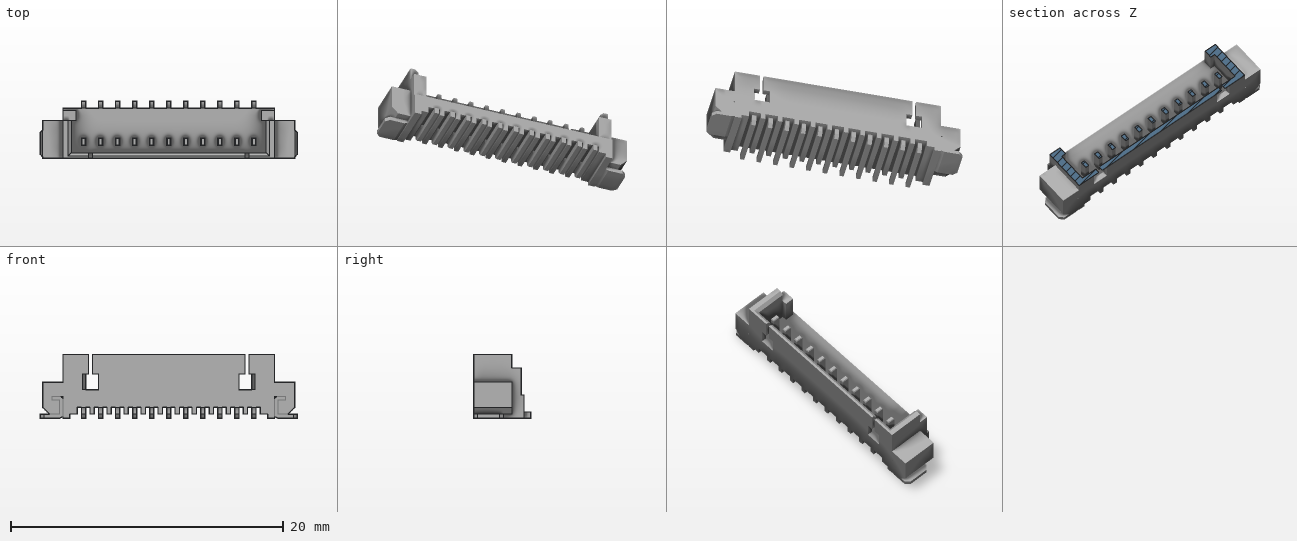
import cadquery as cq
import math

CONTACT_COUNT = 11
PITCH = 1.25
CONTACT_WIDTH = 0.32
CONTACT_FRONT_Y = 0.94
CONTACT_DEPTH = 0.56
CONTACT_TOP_Z = 4.0
TIP_INSET = 0.05
TIP_HEIGHT = 0.08
SHOULDER_FRONT_Y = 0.30
LEG_END_Y = 4.2
LEG_HEIGHT = 0.47
HEEL_DEPTH = 0.25
HEEL_HEIGHT = 0.3

BODY_LENGTH = 15.55
BODY_DEPTH = 3.7
BODY_HEIGHT = 4.7
FLOOR_Z = 1.72
STANDOFF = 0.3
FOOT_LENGTH = 0.51
END_WALL_DEPTH = 2.8
END_WALL_THICKNESS = 0.62
FRONT_WALL_THICKNESS = 0.41
LEAD_IN = 0.24

POST_LENGTH = 0.98
POST_BACK_Y = 3.5
POST_TOP_Z = 3.7

NOTCH_LENGTH = 0.91
NOTCH_TOP_Z = 0.8

WINDOW_X = 5.75
WINDOW_LENGTH = 1.2
WINDOW_BOTTOM_Z = 2.1
WINDOW_TOP_Z = 3.25
SLIT_LENGTH = 0.28

EAR_END_X = 9.25
EAR_TOP_Z = 2.65
EAR_CHAMFER = 0.5
NAIL_END_X = 9.45
NAIL_DEPTH = 2.2
NAIL_TOP_Z = 1.6
NAIL_HOOK_X = 8.57
NAIL_THICKNESS = 0.24
NAIL_FOOT_THICKNESS = STANDOFF
NAIL_BEND_CHAMFER = 0.14
NAIL_FOOT_BEND_X = 0.25
NAIL_FOOT_BEND_Z = 0.1
NAIL_CORNER_CHAMFER = 0.3

HALF_LENGTH = BODY_LENGTH / 2
CONTACT_XS = [(i - (CONTACT_COUNT - 1) / 2) * PITCH for i in range(CONTACT_COUNT)]


def box(x_min, x_max, y_min, y_max, z_min, z_max):
    """Axis-aligned block given by its limits."""
    block = cq.Workplane("XY").box(x_max - x_min, y_max - y_min, z_max - z_min, centered=False)
    return block.translate((x_min, y_min, z_min))


def extrude_along_y(points, depth):
    """Extrude an XZ outline from the front face toward +Y."""
    return cq.Workplane("XZ").polyline(points).close().extrude(-depth)


def both_ends(shape):
    """The shape at the +X end together with its mirror image at the -X end."""
    return shape.add(shape.mirror("YZ").vals()).combine()


def make_shell():
    """Base block, front wall and end walls around a cavity open at top and back."""
    base = box(-HALF_LENGTH, HALF_LENGTH, 0, BODY_DEPTH, STANDOFF, FLOOR_Z)
    walls = box(-HALF_LENGTH, HALF_LENGTH, 0, END_WALL_DEPTH, FLOOR_Z, BODY_HEIGHT)
    inner_x = HALF_LENGTH - END_WALL_THICKNESS
    cavity = box(-inner_x, inner_x, FRONT_WALL_THICKNESS, END_WALL_DEPTH, FLOOR_Z, BODY_HEIGHT)
    return base.union(walls.cut(cavity).cut(make_lead_in()))


def make_lead_in():
    """Flared mouth of the cavity: bevels on the front wall and both end walls."""
    inner_x = HALF_LENGTH - END_WALL_THICKNESS
    bevel_z = BODY_HEIGHT - LEAD_IN
    mouth_x = inner_x + LEAD_IN
    mouth_y = FRONT_WALL_THICKNESS - LEAD_IN
    end_flare = [(-inner_x, bevel_z), (inner_x, bevel_z), (mouth_x, BODY_HEIGHT), (-mouth_x, BODY_HEIGHT)]
    front_flare = [
        (FRONT_WALL_THICKNESS, bevel_z),
        (END_WALL_DEPTH, bevel_z),
        (END_WALL_DEPTH, BODY_HEIGHT),
        (mouth_y, BODY_HEIGHT),
    ]
    across = extrude_along_y(end_flare, END_WALL_DEPTH)
    along = cq.Workplane("YZ").polyline(front_flare).close().extrude(mouth_x, both=True)
    return across.intersect(along)


def make_posts():
    """Rear corner posts that close part of the cavity's open back."""
    inner_x = HALF_LENGTH - POST_LENGTH
    return both_ends(box(inner_x, HALF_LENGTH, END_WALL_DEPTH, POST_BACK_Y, FLOOR_Z, POST_TOP_Z))


def make_feet():
    """Full-depth feet that stand the housing on the board."""
    return both_ends(box(HALF_LENGTH - FOOT_LENGTH, HALF_LENGTH, 0, BODY_DEPTH, 0, STANDOFF))


def make_ears():
    """Side ears that carry the solder nails, beveled at the lower outer edge."""
    outline = [
        (HALF_LENGTH, STANDOFF),
        (EAR_END_X - EAR_CHAMFER, STANDOFF),
        (EAR_END_X, STANDOFF + EAR_CHAMFER),
        (EAR_END_X, EAR_TOP_Z),
        (HALF_LENGTH, EAR_TOP_Z),
    ]
    return both_ends(extrude_along_y(outline, END_WALL_DEPTH))


def make_windows():
    """Latch windows through the front wall, each with a slit up to the rim."""
    def opening(length, z_min, z_max):
        return box(WINDOW_X - length / 2, WINDOW_X + length / 2, 0, FRONT_WALL_THICKNESS, z_min, z_max)

    window = opening(WINDOW_LENGTH, WINDOW_BOTTOM_Z, WINDOW_TOP_Z)
    slit = opening(SLIT_LENGTH, WINDOW_TOP_Z, BODY_HEIGHT)
    return both_ends(window.union(slit))


def make_notch(x):
    """Underside clearance for one contact."""
    return box(x - NOTCH_LENGTH / 2, x + NOTCH_LENGTH / 2, 0, BODY_DEPTH, STANDOFF, NOTCH_TOP_Z)


def make_contact(x):
    """L-shaped contact: upright tapered pin on a beveled shoulder, with a rearward solder leg."""
    pin_back_y = CONTACT_FRONT_Y + CONTACT_DEPTH
    tip_base_z = CONTACT_TOP_Z - TIP_HEIGHT
    outline = [
        (SHOULDER_FRONT_Y + HEEL_DEPTH, 0),
        (LEG_END_Y, 0),
        (LEG_END_Y, LEG_HEIGHT),
        (pin_back_y, LEG_HEIGHT),
        (pin_back_y, tip_base_z),
        (CONTACT_FRONT_Y, tip_base_z),
        (CONTACT_FRONT_Y, NOTCH_TOP_Z),
        (SHOULDER_FRONT_Y, NOTCH_TOP_Z),
        (SHOULDER_FRONT_Y, HEEL_HEIGHT),
    ]
    contact = cq.Workplane("YZ").polyline(outline).close().extrude(CONTACT_WIDTH / 2, both=True)
    tip_taper = math.degrees(math.atan(TIP_INSET / TIP_HEIGHT))
    pin_center = (0, CONTACT_FRONT_Y + CONTACT_DEPTH / 2, tip_base_z)
    tip_base = cq.Workplane("XY", origin=pin_center).rect(CONTACT_WIDTH, CONTACT_DEPTH)
    contact = contact.union(tip_base.extrude(TIP_HEIGHT, taper=tip_taper))
    return contact.translate((x, 0, 0))


def make_nail():
    """Solder nail at the +X end: hook in the ear, upright strip and flat foot."""
    strip_x = HALF_LENGTH + NAIL_THICKNESS
    outline = [
        (NAIL_END_X, 0),
        (NAIL_END_X, NAIL_FOOT_THICKNESS),
        (strip_x, NAIL_FOOT_THICKNESS),
        (strip_x, NAIL_TOP_Z - NAIL_THICKNESS),
        (NAIL_HOOK_X, NAIL_TOP_Z - NAIL_THICKNESS),
        (NAIL_HOOK_X, NAIL_TOP_Z),
        (HALF_LENGTH + NAIL_BEND_CHAMFER, NAIL_TOP_Z),
        (HALF_LENGTH, NAIL_TOP_Z - NAIL_BEND_CHAMFER),
        (HALF_LENGTH, NAIL_FOOT_BEND_Z),
        (HALF_LENGTH + NAIL_FOOT_BEND_X, 0),
    ]
    nail = extrude_along_y(outline, NAIL_DEPTH)
    return nail.edges("|Z and >X").chamfer(NAIL_CORNER_CHAMFER)


def make_nail_relief():
    """Small open corner left in the ear beside the beveled upper bend of the nail."""
    corner = [
        (HALF_LENGTH, NAIL_TOP_Z),
        (HALF_LENGTH + NAIL_BEND_CHAMFER, NAIL_TOP_Z),
        (HALF_LENGTH, NAIL_TOP_Z - NAIL_BEND_CHAMFER),
    ]
    return both_ends(extrude_along_y(corner, NAIL_DEPTH))


housing = make_shell().union(make_posts()).union(make_feet()).union(make_ears())
housing = housing.cut(make_windows()).cut(make_nail_relief())
for contact_x in CONTACT_XS:
    housing = housing.cut(make_notch(contact_x))

metal_parts = [both_ends(make_nail())]
for contact_x in CONTACT_XS:
    metal_parts.append(make_contact(contact_x))

result = housing
for metal_part in metal_parts:
    result = result.cut(metal_part, clean=False).union(metal_part, clean=False)